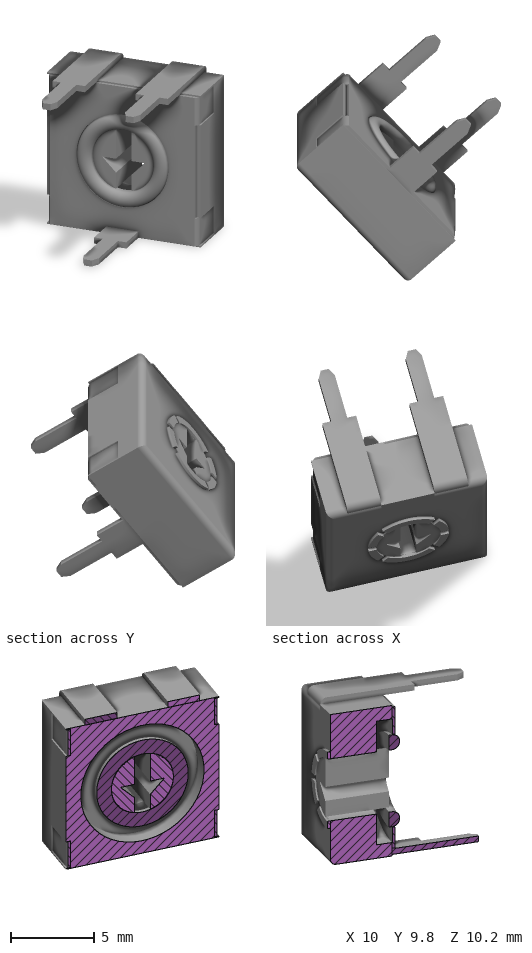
import cadquery as cq


HOUSING_WIDTH = 10.0
HOUSING_HEIGHT = 9.8
HOUSING_DEPTH = 4.0
BACK_ROUND = 0.4
CAVITY_RADIUS = 4.0
CAVITY_FLOOR = -3.0
TOP_Z = HOUSING_HEIGHT / 2
HOUSING_FRONT = -HOUSING_DEPTH

SHEET = 0.2
TAB_RECESS = 0.1
COVER_INSET = 0.1
TAB_BACK = -1.8
TAB_INNER_Z = 3.0
TAB_BEND_DEPTH = 0.37
COVER_FRONT = HOUSING_FRONT - SHEET
TAB_OUTER_X = HOUSING_WIDTH / 2 - TAB_RECESS
COVER_EDGE_X = TAB_OUTER_X - SHEET
COVER_TOP_Z = TOP_Z - COVER_INSET
TAB_HEIGHT = COVER_TOP_Z - TAB_INNER_Z

RING_MIDDLE_RADIUS = 2.5
RING_HALF_WIDTH = 0.5
RING_OUTER_RADIUS = RING_MIDDLE_RADIUS + RING_HALF_WIDTH
RING_INNER_RADIUS = RING_MIDDLE_RADIUS - RING_HALF_WIDTH
COLLAR_BACK = HOUSING_FRONT + 0.2

HUB_RADIUS = RING_INNER_RADIUS
HUB_BACK = 0.1
RIM_RADIUS = 2.5
RIM_BACK = 0.2
NOTCH_WIDTH = 0.4
NOTCH_ANGLES = (0, 45, 135, 180, 225, 315)
ARROW_HALF_LENGTH = 2.0
ARROW_HALF_SHAFT = 0.5
ARROW_HALF_HEAD = 1.4

TERMINAL_THICKNESS = 0.4
BLADE_WIDTH = 2.1
PIN_WIDTH = 1.0
PIN_TIP_WIDTH = 0.5
TERMINAL_SPACING = 5.4
SHOULDER_Y = -6.1
TAPER_Y = -9.1
TIP_Y = -9.6
HEEL_DROP = 0.14
HEEL_BACK = -0.04
SHARP_EDGE_WIDTH = TERMINAL_SPACING - BLADE_WIDTH


def block(x_range, y_range, z_range):
    """Box spanning the given (low, high) limits on each axis."""
    limits = (x_range, y_range, z_range)
    size = [high - low for low, high in limits]
    corner = [low for low, high in limits]
    return cq.Workplane("XY").box(*size, centered=False).translate(tuple(corner))


def disc(radius, front, back):
    """Cylinder on the rotor axis between two Y values."""
    return cq.Workplane("XZ").workplane(offset=-back).circle(radius).extrude(back - front)


def tab_places():
    """X side and lower Z limit of each of the four cover tabs."""
    return [(side, low) for side in (-1, 1) for low in (-COVER_TOP_Z, TAB_INNER_Z)]


def make_tab_pocket(side, low):
    """Pocket in a side of the housing that takes one cover tab."""
    x_range = sorted((side * COVER_EDGE_X, side * HOUSING_WIDTH / 2))
    return block(x_range, (HOUSING_FRONT, TAB_BACK), (low, low + TAB_HEIGHT))


def make_housing():
    half_width = HOUSING_WIDTH / 2
    body = block((-half_width, half_width), (HOUSING_FRONT, 0), (-TOP_Z, TOP_Z))
    body = body.faces(">Y").edges().fillet(BACK_ROUND)

    half_sharp = SHARP_EDGE_WIDTH / 2
    body = body.union(
        block((-half_sharp, half_sharp), (-BACK_ROUND, 0), (TOP_Z - BACK_ROUND, TOP_Z))
    )

    body = body.cut(disc(CAVITY_RADIUS, HOUSING_FRONT, CAVITY_FLOOR))
    body = body.cut(disc(HUB_RADIUS, CAVITY_FLOOR, 0))
    for side, low in tab_places():
        body = body.cut(make_tab_pocket(side, low))
    return body


def make_tab(side, low):
    """Cover tab with its rounded bend, reaching back along one side of the housing."""
    return (
        cq.Workplane("XY", origin=(0, 0, low))
        .moveTo(side * COVER_EDGE_X, COVER_FRONT)
        .lineTo(side * COVER_EDGE_X, TAB_BACK)
        .lineTo(side * TAB_OUTER_X, TAB_BACK)
        .lineTo(side * TAB_OUTER_X, COVER_FRONT + TAB_BEND_DEPTH)
        .tangentArcPoint((side * COVER_EDGE_X, COVER_FRONT), relative=False)
        .close()
        .extrude(TAB_HEIGHT)
    )


def make_ring():
    """Ring with a half-round front and a plain cylindrical collar at the back."""
    return (
        cq.Workplane("XY")
        .moveTo(RING_INNER_RADIUS, COLLAR_BACK)
        .lineTo(RING_OUTER_RADIUS, COLLAR_BACK)
        .lineTo(RING_OUTER_RADIUS, HOUSING_FRONT)
        .threePointArc(
            (RING_MIDDLE_RADIUS, HOUSING_FRONT - RING_HALF_WIDTH),
            (RING_INNER_RADIUS, HOUSING_FRONT),
        )
        .close()
        .revolve(360, (0, 0, 0), (0, 1, 0))
    )


def make_cover(lower_terminal):
    cover = block(
        (-COVER_EDGE_X, COVER_EDGE_X),
        (COVER_FRONT, HOUSING_FRONT),
        (-COVER_TOP_Z, COVER_TOP_Z),
    )
    for side, low in tab_places():
        cover = cover.union(make_tab(side, low))
    cover = cover.cut(disc(RING_OUTER_RADIUS, COVER_FRONT, HOUSING_FRONT))
    return cover.cut(lower_terminal)


def make_arrow_slot():
    """Arrow pointing to -Z, cut right through the rotor."""
    head_end = ARROW_HALF_SHAFT - ARROW_HALF_HEAD
    right_side = [
        (ARROW_HALF_SHAFT, ARROW_HALF_LENGTH),
        (ARROW_HALF_SHAFT, 0),
        (ARROW_HALF_HEAD, 0),
        (ARROW_HALF_SHAFT, head_end),
        (ARROW_HALF_SHAFT, -ARROW_HALF_LENGTH),
    ]
    left_side = [(-x, z) for x, z in reversed(right_side)]
    return (
        cq.Workplane("XZ", origin=(0, HUB_BACK, 0))
        .polyline(right_side + left_side)
        .close()
        .extrude(HUB_BACK - HOUSING_FRONT)
    )


def make_rotor():
    hub = disc(HUB_RADIUS, HOUSING_FRONT, HUB_BACK)
    rim = disc(RIM_RADIUS, 0, RIM_BACK).cut(disc(HUB_RADIUS, 0, RIM_BACK))
    notch = block(
        (0, RIM_RADIUS), (0, RIM_BACK), (-NOTCH_WIDTH / 2, NOTCH_WIDTH / 2)
    )
    for angle in NOTCH_ANGLES:
        rim = rim.cut(notch.rotate((0, 0, 0), (0, 1, 0), angle))
    return hub.union(rim).cut(make_arrow_slot())


def make_blade(center_x, back, low_z):
    """Flat terminal: a wide blade stepping down to a pin with a tapered tip."""
    right_side = [
        (BLADE_WIDTH / 2, back),
        (BLADE_WIDTH / 2, SHOULDER_Y),
        (PIN_WIDTH / 2, SHOULDER_Y),
        (PIN_WIDTH / 2, TAPER_Y),
        (PIN_TIP_WIDTH / 2, TIP_Y),
    ]
    left_side = [(-x, y) for x, y in reversed(right_side)]
    return (
        cq.Workplane("XY", origin=(center_x, 0, low_z))
        .polyline(right_side + left_side)
        .close()
        .extrude(TERMINAL_THICKNESS)
    )


def make_upper_terminal(center_x, housing):
    """Terminal on top of the housing, its heel following the rounded back edge."""
    blade = make_blade(center_x, HEEL_BACK, TOP_Z)
    heel = block(
        (center_x - BLADE_WIDTH / 2, center_x + BLADE_WIDTH / 2),
        (-BACK_ROUND, HEEL_BACK),
        (TOP_Z - HEEL_DROP, TOP_Z),
    )
    terminal = blade.union(heel)
    terminal = terminal.faces(">Z").edges(">Y").fillet(BACK_ROUND)
    return terminal.cut(housing)


housing = make_housing()
upper_terminals = [
    make_upper_terminal(side * TERMINAL_SPACING / 2, housing) for side in (-1, 1)
]
lower_terminal = make_blade(0, HOUSING_FRONT, -COVER_TOP_Z)
cover = make_cover(lower_terminal)
ring = make_ring()
rotor = make_rotor()

bodies = [housing, cover, ring, rotor, lower_terminal, *upper_terminals]
result = cq.Compound.makeCompound([body.solids().val() for body in bodies])